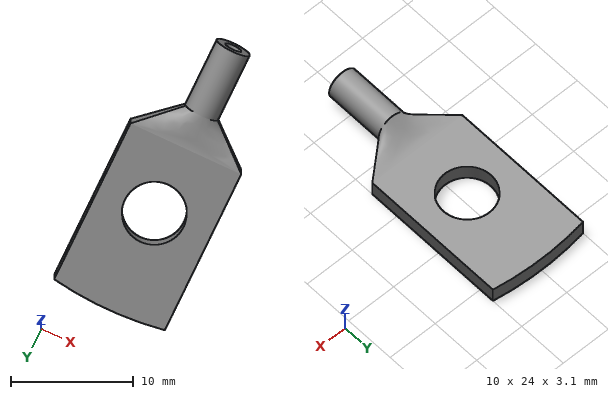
import cadquery as cq

palm_width = 10.0
palm_thickness = 1.6
palm_crown_length = 14.95
palm_edge_length = 14.53
bolt_hole_diameter = 5.3
bolt_hole_from_neck = 6.0

neck_length = 3.0
neck_side_height = 0.8
crown_end_slope = 1.5
neck_stations = (0.0, 0.25, 0.5, 0.75, 1.0)

barrel_diameter = 3.0
barrel_length = 6.0
barrel_bore_diameter = 1.45
barrel_bore_depth = barrel_length
barrel_axis_z = palm_thickness

palm_start_y = -bolt_hole_from_neck
barrel_start_y = palm_start_y - neck_length
barrel_end_y = barrel_start_y - barrel_length
half_width = palm_width / 2
barrel_radius = barrel_diameter / 2

barrel_corner_z = neck_side_height / 2
barrel_corner_x = (barrel_radius**2 - barrel_corner_z**2) ** 0.5


def blend(start, end, fraction):
    return start + (end - start) * fraction


def crown_fraction(fraction):
    """Cubic rise from 0 to 1 that leaves the palm with zero slope."""
    return (3 - crown_end_slope) * fraction**2 + (crown_end_slope - 2) * fraction**3


def neck_section(fraction):
    """Closed outline across the neck: top, right, bottom and left edges."""
    y = blend(palm_start_y, barrel_start_y, fraction)
    crown = crown_fraction(fraction)
    corner_x = blend(half_width, barrel_corner_x, fraction)
    side_x = blend(half_width, barrel_radius, fraction)
    corner_top = blend(palm_thickness, barrel_axis_z + barrel_corner_z, fraction)
    corner_bottom = blend(0, barrel_axis_z - barrel_corner_z, fraction)
    side_z = (corner_top + corner_bottom) / 2
    crown_top = blend(palm_thickness, barrel_axis_z + barrel_radius, crown)
    crown_bottom = blend(0, barrel_axis_z - barrel_radius, crown)

    top_left = cq.Vector(-corner_x, y, corner_top)
    top_right = cq.Vector(corner_x, y, corner_top)
    bottom_right = cq.Vector(corner_x, y, corner_bottom)
    bottom_left = cq.Vector(-corner_x, y, corner_bottom)
    if fraction == 0:
        return cq.Wire.makePolygon([top_left, top_right, bottom_right, bottom_left], close=True)

    edges = [
        cq.Edge.makeThreePointArc(top_left, cq.Vector(0, y, crown_top), top_right),
        cq.Edge.makeThreePointArc(top_right, cq.Vector(side_x, y, side_z), bottom_right),
        cq.Edge.makeThreePointArc(bottom_right, cq.Vector(0, y, crown_bottom), bottom_left),
        cq.Edge.makeThreePointArc(bottom_left, cq.Vector(-side_x, y, side_z), top_left),
    ]
    return cq.Wire.assembleEdges(edges)


def make_palm():
    corner_y = palm_start_y + palm_edge_length
    crown_y = palm_start_y + palm_crown_length
    plate = (
        cq.Workplane("XY")
        .moveTo(-half_width, palm_start_y)
        .lineTo(half_width, palm_start_y)
        .lineTo(half_width, corner_y)
        .threePointArc((0, crown_y), (-half_width, corner_y))
        .close()
        .extrude(palm_thickness)
    )
    bolt_hole = cq.Workplane("XY").circle(bolt_hole_diameter / 2).extrude(palm_thickness)
    return plate.cut(bolt_hole)


def make_neck():
    sections = [neck_section(fraction) for fraction in neck_stations]
    return cq.Workplane(cq.Solid.makeLoft(sections))


def barrel_cylinder(diameter, length):
    """Cylinder on the barrel axis, running inward from the barrel's open end."""
    open_end = cq.Workplane("XZ", origin=(0, barrel_end_y, barrel_axis_z))
    return open_end.circle(diameter / 2).extrude(-length)


barrel = barrel_cylinder(barrel_diameter, barrel_length)
bore = barrel_cylinder(barrel_bore_diameter, barrel_bore_depth)
result = make_palm().union(make_neck()).union(barrel).cut(bore)